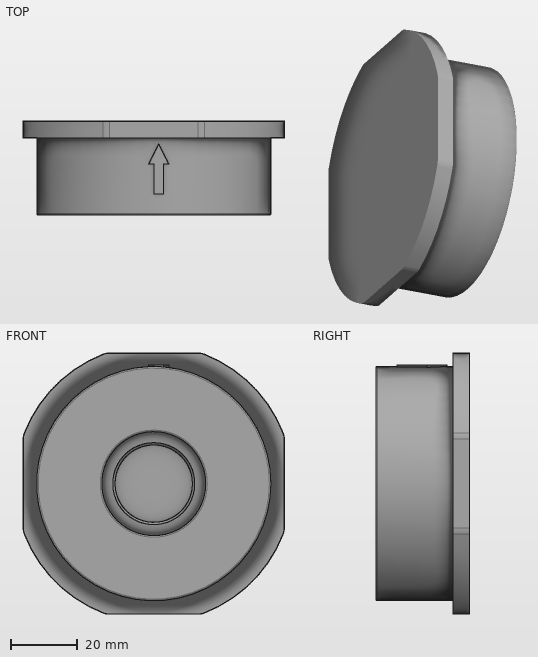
import cadquery as cq
import math

FLANGE_WIDTH = 78.0
FLANGE_DIAMETER = 83.0
FLANGE_THICKNESS = 5.0
FLANGE_CORNER_RADIUS = 5.0
BARREL_DIAMETER = 70.0
BARREL_LENGTH = 23.0
BORE_DIAMETER = 31.05
EDGE_FILLET = 0.5

SEAT_DEPTH = 6.6
DISC_DIAMETER = 23.1
SEAT_CONE_DEPTH = 0.7
SEAT_MOUTH_DIAMETER = DISC_DIAMETER + 2 * SEAT_CONE_DEPTH

ARROW_LENGTH = 15.0
ARROW_HEAD_LENGTH = 6.0
ARROW_HEAD_WIDTH = 6.0
ARROW_SHAFT_WIDTH = 3.0
ARROW_CENTRE_X = 1.5
ARROW_TIP_GAP = 1.8
ARROW_HEIGHT = 0.5

FLANGE_BACK_Y = FLANGE_THICKNESS
FLANGE_FRONT_Y = 0.0
BARREL_END_Y = FLANGE_FRONT_Y - BARREL_LENGTH
SEAT_FACE_Y = BARREL_END_Y + SEAT_DEPTH
DISC_FACE_Y = SEAT_FACE_Y + SEAT_CONE_DEPTH
ARROW_TIP_Y = FLANGE_FRONT_Y - ARROW_TIP_GAP
ARROW_TOP_Z = BARREL_DIAMETER / 2 + ARROW_HEIGHT


def cylinder(diameter, start_y, end_y):
    """Solid cylinder on the Y axis from start_y up to end_y."""
    return (
        cq.Workplane("XZ", origin=(0, start_y, 0))
        .circle(diameter / 2)
        .extrude(start_y - end_y)
    )


def make_flange():
    """Disc with four flats and rounded corners beside each flat."""
    square = cq.Workplane("XY").box(FLANGE_WIDTH, FLANGE_THICKNESS, FLANGE_WIDTH)
    square = square.translate((0, (FLANGE_FRONT_Y + FLANGE_BACK_Y) / 2, 0))
    disc = cylinder(FLANGE_DIAMETER, FLANGE_FRONT_Y, FLANGE_BACK_Y)
    return disc.intersect(square).edges("|Y").fillet(FLANGE_CORNER_RADIUS)


def make_arrow():
    """Flow arrow with a flat top, reaching down into the barrel wall."""
    base_y = ARROW_TIP_Y - ARROW_HEAD_LENGTH
    tail_y = ARROW_TIP_Y - ARROW_LENGTH
    half_head = ARROW_HEAD_WIDTH / 2
    half_shaft = ARROW_SHAFT_WIDTH / 2
    farthest_x = ARROW_CENTRE_X + half_head
    wall_z = math.sqrt((BARREL_DIAMETER / 2) ** 2 - farthest_x ** 2)
    root_z = wall_z - ARROW_HEIGHT
    return (
        cq.Workplane("XY", origin=(ARROW_CENTRE_X, 0, root_z))
        .moveTo(0, ARROW_TIP_Y)
        .lineTo(half_head, base_y)
        .lineTo(half_shaft, base_y)
        .lineTo(half_shaft, tail_y)
        .lineTo(-half_shaft, tail_y)
        .lineTo(-half_shaft, base_y)
        .lineTo(-half_head, base_y)
        .close()
        .extrude(ARROW_TOP_Z - root_z)
    )


def make_housing():
    """Flanged barrel with a through bore and a raised flow arrow."""
    barrel = cylinder(BARREL_DIAMETER, BARREL_END_Y, FLANGE_FRONT_Y)
    bore = cylinder(BORE_DIAMETER, BARREL_END_Y, FLANGE_BACK_Y)
    body = make_flange().union(barrel).cut(bore)
    body = body.faces("<Y").edges().fillet(EDGE_FILLET)
    return body.union(make_arrow())


def make_seat_ring():
    """Ring filling the bore behind the seat face, with a conical lead-in to its hole."""
    ring = cylinder(BORE_DIAMETER, SEAT_FACE_Y, FLANGE_BACK_Y)
    hole = cylinder(DISC_DIAMETER, SEAT_FACE_Y, FLANGE_BACK_Y)
    cone = cq.Solid.makeCone(
        SEAT_MOUTH_DIAMETER / 2,
        DISC_DIAMETER / 2,
        SEAT_CONE_DEPTH,
        pnt=cq.Vector(0, SEAT_FACE_Y, 0),
        dir=cq.Vector(0, 1, 0),
    )
    return ring.cut(hole).cut(cq.Workplane(cone))


def make_disc():
    """Plain closing disc that fills the hole of the seat ring behind its cone."""
    return cylinder(DISC_DIAMETER, DISC_FACE_Y, FLANGE_BACK_Y)


housing = make_housing()
seat_ring = make_seat_ring()
disc = make_disc()

result = cq.Compound.makeCompound([
    housing.solids().val(),
    seat_ring.solids().val(),
    disc.solids().val(),
])